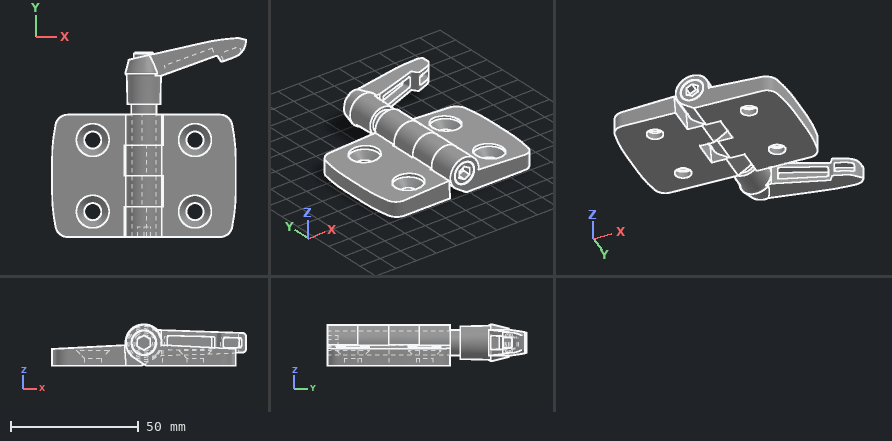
import cadquery as cq
import math

leaf_reach = 36.0
hinge_length = 48.0
half_length = hinge_length / 2
knuckle_count = 4
knuckle_length = hinge_length / knuckle_count
axis_height = 9.0
knuckle_radius = 7.0
plate_outer_height = 6.6
plate_inner_height = 8.12
knuckle_foot_x = 7.08
relief_top_x = 7.6
relief_bottom_x = 7.0
bottom_gap = 0.85
outer_flat = 11.6
outer_bow_radius = 72.0
corner_radius = 5.0

hole_x = 20.0
hole_spacing = 28.0
hole_diameter = 6.6
sink_diameter = 12.8
sink_cone_top = 6.05
sink_cone_bottom = sink_cone_top - (sink_diameter - hole_diameter) / 2

pin_diameter = 9.4
bore_chamfer = 0.2
socket_width = 5.0
socket_depth = 4.0
neck_diameter = 10.0
neck_end = 28.0
sleeve_end = 39.0
rim_start = 39.9
rim_end = 40.4
sleeve_start_radius = 6.5
sleeve_end_radius = 6.75
rim_radius = 7.25
cone_slope = 0.25
hub_stock_end = 49.0
button_diameter = 8.0
button_top_diameter = 6.4
button_chamfer_start = 47.7
button_end = 48.4

arm_back_y = 46.8
arm_back_slope = 0.227
arm_front_y = 39.1
arm_front_x = 6.8
arm_front_angle = 20.0
arm_front_slope = math.tan(math.radians(arm_front_angle))
arm_bend_x = 20.5
arm_bend_middle = (29.0, 53.15)
arm_crest = (37.0, 54.0)
arm_tip_top = (40.0, 53.2)
arm_tip_middle = (39.0, 49.4)
arm_tip_base = (35.2, 46.3)
notch_x = 28.6
notch_fillet = 0.5
heel = (30.3, 44.5)
heel_fillet = 0.6
arm_half_thickness = 5.22
arm_taper = math.radians(2.0)
arm_tip_round = 1.5

grip_pocket = (9.1, 27.8, 2.8, 2.35)
tip_pocket = (31.1, 38.5, 2.1, 1.95)
pocket_depth = 3.5
pocket_fillet = 0.9


def leaf_side_outline():
    """Leaf profile in XZ with the knuckle, plate toward +X."""
    reach = math.hypot(bottom_gap, axis_height)
    axis_angle = math.atan2(axis_height, -bottom_gap)
    tangent_angle = axis_angle + math.asin(knuckle_radius / reach)
    contact_angle = tangent_angle + math.pi / 2
    contact = (
        knuckle_radius * math.cos(contact_angle),
        axis_height + knuckle_radius * math.sin(contact_angle),
    )
    return (
        cq.Workplane("XZ", origin=(0, half_length, 0))
        .moveTo(bottom_gap, 0)
        .lineTo(*contact)
        .threePointArc((0, axis_height + knuckle_radius), (knuckle_radius, axis_height))
        .lineTo(knuckle_foot_x, plate_inner_height)
        .lineTo(leaf_reach, plate_outer_height)
        .lineTo(leaf_reach, 0)
        .close()
    )


def leaf_plan():
    """Block with the leaf outline seen along Z."""
    inner_x = -2 * knuckle_radius
    block_height = 2 * axis_height
    flat_half = outer_flat / 2
    bow_angle = math.asin((half_length - flat_half) / outer_bow_radius)

    def bow_point(angle, side):
        """Point on the bowed stretch at the given Y side."""
        x = leaf_reach - outer_bow_radius * (1 - math.cos(angle))
        y = flat_half + outer_bow_radius * math.sin(angle)
        return (x, side * y)

    return (
        cq.Workplane("XY")
        .moveTo(inner_x, -half_length)
        .lineTo(*bow_point(bow_angle, -1))
        .threePointArc(bow_point(bow_angle / 2, -1), (leaf_reach, -flat_half))
        .lineTo(leaf_reach, flat_half)
        .threePointArc(bow_point(bow_angle / 2, 1), bow_point(bow_angle, 1))
        .lineTo(inner_x, half_length)
        .close()
        .extrude(block_height)
        .edges("|Z and (>Y or <Y) and (not <X)")
        .fillet(corner_radius)
    )


def make_leaf():
    """Leaf with its plate toward +X and its first knuckle at -Y."""
    leaf = leaf_side_outline().extrude(hinge_length).intersect(leaf_plan())
    for index in range(1, knuckle_count, 2):
        end_y = -half_length + (index + 1) * knuckle_length
        relief = (
            cq.Workplane("XZ", origin=(0, end_y, 0))
            .moveTo(-leaf_reach, 0)
            .lineTo(relief_bottom_x, 0)
            .lineTo(relief_top_x, plate_inner_height)
            .lineTo(relief_top_x, 2 * axis_height)
            .lineTo(-leaf_reach, 2 * axis_height)
            .close()
            .extrude(knuckle_length)
        )
        leaf = leaf.cut(relief)
    bore = (
        cq.Workplane("XZ", origin=(0, half_length, axis_height))
        .circle(pin_diameter / 2)
        .extrude(hinge_length)
    )
    leaf = leaf.cut(bore)
    for side in (-1, 1):
        leaf = leaf.cut(screw_hole().translate((hole_x, side * hole_spacing / 2, 0)))
    return leaf


def bore_mouth():
    """Small chamfer where the bore opens at the -Y end."""
    bore_radius = pin_diameter / 2
    return turned([
        (bore_radius, -half_length),
        (bore_radius + bore_chamfer, -half_length),
        (bore_radius, -half_length + bore_chamfer),
    ])


def screw_hole():
    """Through hole, 90 degree cone and cylindrical mouth around Z."""
    return (
        cq.Workplane("XZ")
        .lineTo(hole_diameter / 2, 0)
        .lineTo(hole_diameter / 2, sink_cone_bottom)
        .lineTo(sink_diameter / 2, sink_cone_top)
        .lineTo(sink_diameter / 2, axis_height)
        .lineTo(0, axis_height)
        .close()
        .revolve(360, (0, 0), (0, 1))
    )


def back_edge(x):
    """Y of the straight back edge of the arm."""
    return arm_back_y + arm_back_slope * x


def front_edge(x):
    """Y of the straight front edge of the arm."""
    return arm_front_y + arm_front_slope * (x - arm_front_x)


def turned(points):
    """Revolve an outline of (radius, y) points around the pin axis."""
    return (
        cq.Workplane("XY", origin=(0, 0, axis_height))
        .polyline(points)
        .close()
        .revolve(360, (0, 0), (0, 1))
    )


def lever_hub():
    """Tapered sleeve, rounded rim and cone, trimmed in line with the arm's back."""
    cone_end_radius = rim_radius - cone_slope * (hub_stock_end - rim_end)
    hub = (
        cq.Workplane("XY", origin=(0, 0, axis_height))
        .moveTo(0, neck_end)
        .lineTo(sleeve_start_radius, neck_end)
        .lineTo(sleeve_end_radius, sleeve_end)
        .tangentArcPoint((rim_radius, rim_start), relative=False)
        .lineTo(rim_radius, rim_end)
        .lineTo(cone_end_radius, hub_stock_end)
        .lineTo(0, hub_stock_end)
        .close()
        .revolve(360, (0, 0), (0, 1))
    )
    trim_reach = 2 * rim_radius
    trim = (
        cq.Workplane("XY")
        .polyline([
            (-trim_reach, back_edge(-trim_reach)),
            (trim_reach, back_edge(trim_reach)),
            (trim_reach, 2 * hub_stock_end),
            (-trim_reach, 2 * hub_stock_end),
        ])
        .close()
        .extrude(2 * axis_height)
    )
    return hub.cut(trim)


def arm_pocket(start_x, end_x, start_half_width, end_half_width, start_y):
    """Tapered pocket sunk at right angles into the front of the arm."""
    angle = math.radians(arm_front_angle)
    along = (math.cos(angle), math.sin(angle), 0)
    inward = (-math.sin(angle), math.cos(angle), 0)
    length = (end_x - start_x) / math.cos(angle)
    face = cq.Plane(origin=(start_x, start_y, axis_height), xDir=along, normal=inward)
    return (
        cq.Workplane(face)
        .polyline([
            (0, -start_half_width),
            (length, -end_half_width),
            (length, end_half_width),
            (0, start_half_width),
        ])
        .close()
        .extrude(2 * pocket_depth)
        .edges(cq.selectors.ParallelDirSelector(cq.Vector(*inward)))
        .fillet(pocket_fillet)
        .translate(cq.Vector(*inward) * -pocket_depth)
    )


def lever_arm():
    """Arm with a hooked tip, thinning toward the tip."""
    outline = (
        cq.Workplane("XY")
        .moveTo(0, arm_front_y)
        .lineTo(arm_front_x, arm_front_y)
        .lineTo(notch_x, front_edge(notch_x))
        .lineTo(*heel)
        .lineTo(*arm_tip_base)
        .threePointArc(arm_tip_middle, arm_tip_top)
        .lineTo(*arm_crest)
        .threePointArc(arm_bend_middle, (arm_bend_x, back_edge(arm_bend_x)))
        .lineTo(0, back_edge(0))
        .close()
        .extrude(2 * axis_height)
    )

    notch_edge = cq.selectors.NearestToPointSelector((notch_x, front_edge(notch_x), axis_height))
    heel_edge = cq.selectors.NearestToPointSelector((*heel, axis_height))
    outline = outline.edges(notch_edge).fillet(notch_fillet)
    outline = outline.edges(heel_edge).fillet(heel_fillet)

    tip_x = arm_tip_top[0]
    tip_half = arm_half_thickness - tip_x * math.tan(arm_taper)
    thickness = (
        cq.Workplane("XZ", origin=(0, 0, axis_height))
        .polyline([
            (0, -arm_half_thickness),
            (tip_x, -tip_half),
            (tip_x, tip_half),
            (0, arm_half_thickness),
        ])
        .close()
        .extrude(-2 * arm_crest[1])
        .edges("|Y and >X")
        .fillet(arm_tip_round)
    )
    arm = outline.intersect(thickness)
    arm = arm.cut(arm_pocket(*grip_pocket, front_edge(grip_pocket[0])))
    tip_edge_y = heel[1] + arm_front_slope * (tip_pocket[0] - heel[0])
    return arm.cut(arm_pocket(*tip_pocket, tip_edge_y))


def make_lever_pin():
    """Hinge pin and clamping lever in one piece."""
    pin = turned([
        (0, -half_length),
        (pin_diameter / 2, -half_length),
        (pin_diameter / 2, half_length),
        (neck_diameter / 2, half_length),
        (neck_diameter / 2, neck_end),
        (0, neck_end),
    ])
    button = turned([
        (0, rim_end),
        (button_diameter / 2, rim_end),
        (button_diameter / 2, button_chamfer_start),
        (button_top_diameter / 2, button_end),
        (0, button_end),
    ])
    socket = (
        cq.Workplane("XZ", origin=(0, -half_length, axis_height))
        .polygon(6, socket_width, circumscribed=True)
        .extrude(-socket_depth)
    )
    return pin.union(lever_hub()).union(lever_arm()).union(button).cut(socket)


right_leaf = make_leaf().cut(bore_mouth())
left_leaf = make_leaf().rotate((0, 0, 0), (0, 0, 1), 180)
lever_pin = make_lever_pin()

result = cq.Compound.makeCompound([right_leaf.val(), left_leaf.val(), lever_pin.val()])